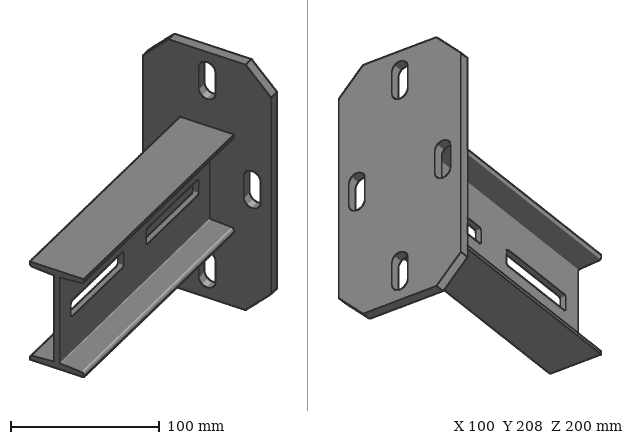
import cadquery as cq

plate_width = 100.0
plate_height = 200.0
plate_thickness = 8.0
corner_chamfer = 20.0

slot_width = 13.0
slot_length = 30.0
end_slot_offset = 76.8
side_slot_offset = 35.2

beam_length = 208 - plate_thickness
beam_height = 80.0
beam_width = 42.0
web_thickness = 4.5
flange_tip_thickness = 3.7
flange_root_thickness = 5.0
flange_tip_radius = 2.0
web_root_radius = 0.6

window_length = 70.0
window_height = slot_width
window_corner_radius = 2.0
window_end_margin = 15.0


def make_plate():
    plate = (
        cq.Workplane("XY")
        .box(plate_width, plate_thickness, plate_height)
        .translate((0, plate_thickness / 2, 0))
        .edges("|Y")
        .chamfer(corner_chamfer)
    )
    slot_centers = [
        (0, end_slot_offset),
        (0, -end_slot_offset),
        (side_slot_offset, 0),
        (-side_slot_offset, 0),
    ]
    slots = (
        cq.Workplane("XZ")
        .pushPoints(slot_centers)
        .slot2D(slot_length, slot_width, 90)
        .extrude(-plate_thickness)
    )
    return plate.cut(slots)


def make_beam_blank():
    """I-section with tapered flanges, rounded at their inner tips and at the web."""
    half_width = beam_width / 2
    half_height = beam_height / 2
    half_web = web_thickness / 2
    tip_z = half_height - flange_tip_thickness
    root_z = half_height - flange_root_thickness
    upper_right = [(half_width, half_height), (half_width, tip_z), (half_web, root_z)]
    lower_right = [(x, -z) for x, z in reversed(upper_right)]
    right_side = upper_right + lower_right
    left_side = [(-x, z) for x, z in reversed(right_side)]
    blank = cq.Workplane("XZ").polyline(right_side + left_side).close().extrude(beam_length)

    inner_tip_edges = cq.selectors.BoxSelector(
        (-beam_width, -beam_length, -tip_z - flange_tip_thickness / 2),
        (beam_width, 0, tip_z + flange_tip_thickness / 2),
    )
    web_root_edges = cq.selectors.BoxSelector(
        (-web_thickness, -beam_length, -half_height),
        (web_thickness, 0, half_height),
    )
    blank = blank.edges("|Y").edges(web_root_edges).fillet(web_root_radius)
    return blank.faces("<X or >X").edges("|Y").edges(inner_tip_edges).fillet(flange_tip_radius)


def make_web_windows():
    first_center = -window_end_margin - window_length / 2
    last_center = -beam_length - first_center
    windows = cq.Workplane("XY")
    for center_y in (first_center, last_center):
        window = (
            cq.Workplane("XY")
            .box(beam_width, window_length, window_height)
            .edges("|X")
            .fillet(window_corner_radius)
            .translate((0, center_y, 0))
        )
        windows = windows.add(window)
    return windows.combine()


plate = make_plate()
beam = make_beam_blank().cut(make_web_windows())

result = cq.Compound.makeCompound([plate.val(), *beam.vals()])